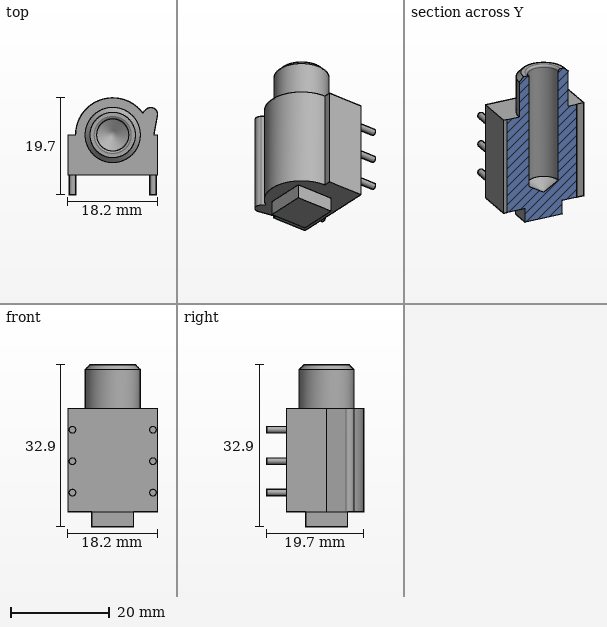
import cadquery as cq
import math


housing_width = 18.2
housing_height = 20.95
back_radius = 7.55
front_depth = 8.14

lug_radius = 1.4
lug_center_y = 4.18
lug_center_x = housing_width / 2 - lug_radius
lug_foot_x = 8.35
lug_inner_slope = 47.0

tail_side = 8.5
tail_height = 3.05

collar_radius = 5.6
collar_height = 8.85
collar_chamfer = 1.0
bore_radius = 3.25
bore_lip_radius = 0.5
bore_depth = 25.0
bore_point_angle = 118.0

pin_diameter = 1.36
pin_length = 4.0
pin_spacing_x = 16.3
pin_pitch_z = 6.36
lowest_pin_z = 3.9
pins_per_side = 3


def make_housing():
    """Box in front of the axis with a half-round back, plus the square tail."""
    box = cq.Workplane("XY").rect(housing_width, front_depth).extrude(housing_height)
    box = box.translate((0, -front_depth / 2, 0))
    back = cq.Workplane("XY").circle(back_radius).extrude(housing_height)
    tail = cq.Workplane("XY").rect(tail_side, tail_side).extrude(-tail_height)
    return box.union(back).union(tail)


def make_lug():
    """Round-tipped lug with a leaning outer flank, running the housing's full height."""
    foot_distance = math.hypot(lug_foot_x - lug_center_x, lug_center_y)
    foot_direction = math.atan2(-lug_center_y, lug_foot_x - lug_center_x)
    outer_angle = foot_direction + math.acos(lug_radius / foot_distance)
    inner_angle = math.radians(lug_inner_slope) + math.pi / 2
    middle_angle = (outer_angle + inner_angle) / 2

    def tip_point(angle):
        x = lug_center_x + lug_radius * math.cos(angle)
        y = lug_center_y + lug_radius * math.sin(angle)
        return (x, y)

    inner_start = tip_point(inner_angle)
    slope = math.radians(lug_inner_slope)
    inner_end_x = inner_start[0] - lug_radius * math.cos(slope)
    inner_end_y = inner_start[1] - lug_radius * math.sin(slope)
    return (
        cq.Workplane("XY")
        .moveTo(lug_foot_x, 0)
        .lineTo(*tip_point(outer_angle))
        .threePointArc(tip_point(middle_angle), inner_start)
        .lineTo(inner_end_x, inner_end_y)
        .lineTo(inner_end_x, 0)
        .close()
        .extrude(housing_height)
    )


def make_collar():
    """Round collar on top of the housing with a chamfered rim."""
    collar = cq.Workplane("XY").workplane(offset=housing_height).circle(collar_radius)
    return collar.extrude(collar_height).faces(">Z").edges().chamfer(collar_chamfer)


def make_bore():
    """Revolved cutter: rounded lip, straight bore and conical bottom."""
    top_z = housing_height + collar_height
    bottom_z = top_z - bore_depth
    point_z = bottom_z - bore_radius / math.tan(math.radians(bore_point_angle / 2))
    lip_outer_radius = bore_radius + bore_lip_radius
    lip_mid_offset = bore_lip_radius * (1 - math.cos(math.pi / 4))
    lip_middle = (bore_radius + lip_mid_offset, top_z - lip_mid_offset)
    return (
        cq.Workplane("XZ")
        .moveTo(0, point_z)
        .lineTo(bore_radius, bottom_z)
        .lineTo(bore_radius, top_z - bore_lip_radius)
        .threePointArc(lip_middle, (lip_outer_radius, top_z))
        .lineTo(0, top_z)
        .close()
        .revolve(360, (0, 0, 0), (0, 1, 0))
    )


def make_pins():
    """Two rows of round pins standing out of the mounting face."""
    positions = [
        (side * pin_spacing_x / 2, lowest_pin_z + row * pin_pitch_z)
        for side in (-1, 1)
        for row in range(pins_per_side)
    ]
    face = cq.Workplane("XZ", origin=(0, -front_depth, 0))
    return face.pushPoints(positions).circle(pin_diameter / 2).extrude(pin_length)


result = (
    make_housing()
    .union(make_lug())
    .union(make_collar())
    .union(make_pins())
    .cut(make_bore())
)